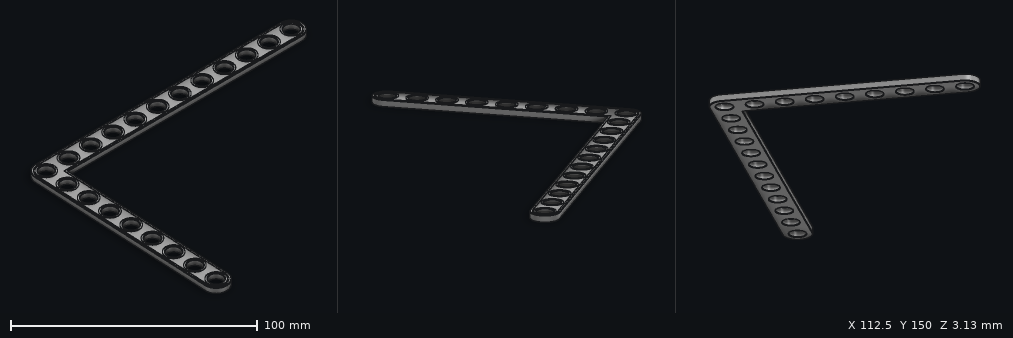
import cadquery as cq

PITCH = 12.5
HOLES_X = 9
HOLES_Y = 12
HOLE_DIAMETER = 7.0

WIDTH = PITCH
THICKNESS = PITCH / 4
EDGE_CHAMFER = 0.3

COLLAR_DIAMETER = 9.2
RIM_WIDTH = (COLLAR_DIAMETER - HOLE_DIAMETER) / 2
RECESS_DEPTH = 0.2

LENGTH_X = (HOLES_X - 1) * PITCH
LENGTH_Y = (HOLES_Y - 1) * PITCH


def hole_centres():
    """Centres along both arms, with the shared corner hole at the origin."""
    along_x = [(i * PITCH, 0) for i in range(HOLES_X)]
    along_y = [(0, i * PITCH) for i in range(1, HOLES_Y)]
    return along_x + along_y


def angle_prism(width, height, base_z):
    """L-shaped prism of two round-ended arms that meet at the origin."""
    plane = cq.Workplane("XY").workplane(offset=base_z)
    arm_x = plane.center(LENGTH_X / 2, 0).slot2D(LENGTH_X + width, width).extrude(height)
    arm_y = plane.center(0, LENGTH_Y / 2).slot2D(LENGTH_Y + width, width, 90).extrude(height)
    return arm_x.union(arm_y).clean()


def cylinders(diameter, height, base_z):
    """One cylinder at every hole centre."""
    plane = cq.Workplane("XY").workplane(offset=base_z)
    return plane.pushPoints(hole_centres()).circle(diameter / 2).extrude(height)


def chamfered_plate():
    """Plate with all its holes, chamfered along every edge of both flat faces."""
    plate = angle_prism(WIDTH, THICKNESS, 0).cut(cylinders(HOLE_DIAMETER, THICKNESS, 0))
    return plate.faces("<Z or >Z").edges().chamfer(EDGE_CHAMFER)


def recess():
    """Volume removed between the rim and the collars."""
    floor_z = THICKNESS - RECESS_DEPTH
    pocket = angle_prism(WIDTH - 2 * RIM_WIDTH, RECESS_DEPTH, floor_z)
    return pocket.cut(cylinders(COLLAR_DIAMETER, RECESS_DEPTH, floor_z))


result = chamfered_plate().cut(recess())